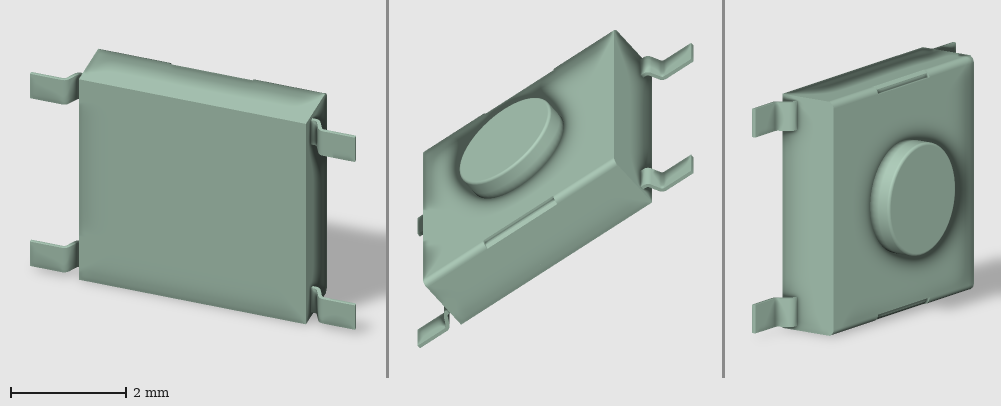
import cadquery as cq
import math

overall_length = 5.99
body_width = 4.19
body_depth = 1.09

stem_diameter = 2.0
stem_top = 1.5
stem_edge_radius = 0.05

sheet_thickness = 0.06
inner_bend_radius = 0.055
outer_bend_radius = inner_bend_radius + sheet_thickness
flap_bottom = 0.16
flap_taper = 0.32
notch_width = 1.535
notch_depth = 0.33
notch_inset = 0.125
tab_chamfer = 0.055

lead_thickness = 0.065
lead_width = 0.51
lead_spacing = 3.505
lead_top = 0.33
lead_bend_radius = 0.095
lead_bend_angle = math.radians(63)
foot_length = 0.59

half_width = body_width / 2
plate_underside = body_depth - sheet_thickness


def bent_block(height, span, bend_radius):
    """Block as wide as the body, standing on Y = 0, with its two upper edges along X rounded."""
    block = cq.Workplane("XY").box(body_width, height, span, centered=(True, False, True))
    return block.edges("|X and >Y").fillet(bend_radius)


def make_cover_outline():
    """Region across the whole body that holds the plate and, below it, the tapered flaps."""
    flap_half_end = half_width - flap_taper
    return (
        cq.Workplane("XY")
        .moveTo(-half_width, body_depth)
        .lineTo(half_width, body_depth)
        .lineTo(half_width, plate_underside)
        .lineTo(flap_half_end, flap_bottom)
        .lineTo(-flap_half_end, flap_bottom)
        .lineTo(-half_width, plate_underside)
        .close()
        .extrude(half_width, both=True)
    )


def make_stem():
    """Round stem from the housing top, with a rounded rim."""
    stem = (
        cq.Workplane(cq.Plane((0, plate_underside, 0), xDir=(0, 0, 1), normal=(0, 1, 0)))
        .circle(stem_diameter / 2)
        .extrude(stem_top - plate_underside)
    )
    return stem.faces(">Y").edges().fillet(stem_edge_radius)


def make_core():
    """Rounded block that the cover is bent around."""
    return bent_block(plate_underside, body_width - 2 * sheet_thickness, inner_bend_radius)


def notch_block(top):
    """Bar across the body that spans both notches, from the notch bottom up to the given Y."""
    notch_bottom = body_depth - notch_depth
    return cq.Workplane("XY", origin=(0, notch_bottom, 0)).box(
        notch_width, top - notch_bottom, body_width, centered=(True, False, True)
    )


def make_notch_cutter():
    """Notch block minus the plate area between the notches, which stays in the cover."""
    plate_span = body_width - 2 * notch_inset
    kept_plate = cq.Workplane("XY", origin=(0, plate_underside, 0)).box(
        notch_width, sheet_thickness, plate_span, centered=(True, False, True)
    )
    return notch_block(body_depth).cut(kept_plate)


def make_tabs():
    """Bar whose two ends are the housing tabs, each with its upper edge chamfered."""
    return notch_block(plate_underside).edges("|X and >Y").chamfer(tab_chamfer)


def make_cover():
    """Bent sheet with a stem hole in the plate and a notch through each bend."""
    sheet = bent_block(body_depth, body_width, outer_bend_radius).cut(make_core())
    cover = sheet.intersect(make_cover_outline()).cut(make_stem())
    return cover.cut(make_notch_cutter())


def make_housing():
    """Block recessed for the flaps so that they lie flush, with the notch tabs and the stem."""
    block = cq.Workplane("XY").box(
        body_width, plate_underside, body_width, centered=(True, False, True)
    )
    flap_recesses = make_cover_outline().cut(make_core())
    return block.cut(flap_recesses).union(make_tabs()).union(make_stem())


def make_lead():
    """Left-hand lead centred on Z = 0: strip swept along its foot, S-bend and shoulder."""
    tip_x = -overall_length / 2
    foot_y = lead_thickness / 2
    shoulder_y = lead_top - lead_thickness / 2

    bend_run = lead_bend_radius * math.sin(lead_bend_angle)
    bend_rise = lead_bend_radius * (1 - math.cos(lead_bend_angle))
    slope_rise = shoulder_y - foot_y - 2 * bend_rise
    slope_run = slope_rise / math.tan(lead_bend_angle)
    bend_start = tip_x + foot_length
    slope_start = bend_start + bend_run
    slope_end = slope_start + slope_run

    centreline = (
        cq.Workplane("XY")
        .moveTo(tip_x, foot_y)
        .lineTo(bend_start, foot_y)
        .tangentArcPoint((slope_start, foot_y + bend_rise), relative=False)
        .lineTo(slope_end, shoulder_y - bend_rise)
        .tangentArcPoint((slope_end + bend_run, shoulder_y), relative=False)
        .lineTo(-half_width, shoulder_y)
    )
    strip_section = cq.Workplane("YZ", origin=(tip_x, foot_y, 0)).rect(lead_thickness, lead_width)
    return strip_section.sweep(centreline)


def make_leads():
    """Four leads: one pair on the left, mirrored onto the right."""
    left_lead = make_lead()
    right_lead = left_lead.mirror("YZ")
    leads = []
    for lead in (left_lead, right_lead):
        for side in (-1, 1):
            leads.append(lead.translate((0, 0, side * lead_spacing / 2)))
    return leads


housing = make_housing()
cover = make_cover()
leads = make_leads()

lead_solids = [lead.val() for lead in leads]
result = cq.Compound.makeCompound([housing.solids().val(), cover.solids().val(), *lead_solids])